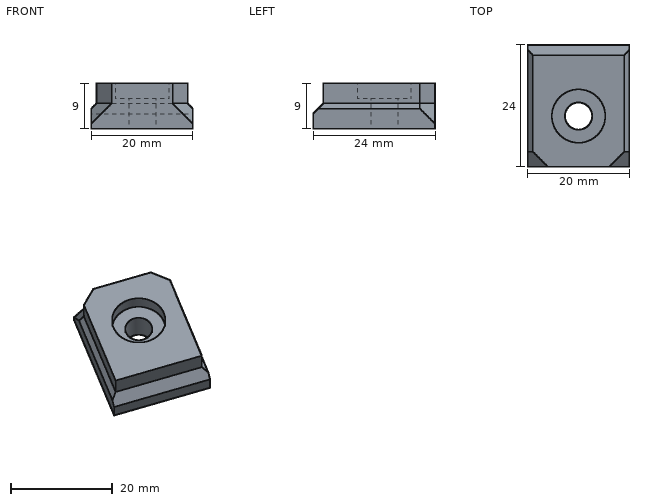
import cadquery as cq

width = 20.0
length = 24.0
height = 9.0

base_height = 5.0
side_ledge = 1.0
back_ledge = 2.0
corner_cut = 3.0

hole_diameter = 5.3
bore_diameter = 10.5
bore_depth = 3.0
hole_from_front = 10.0

half_width = width / 2
front = -length / 2
back = length / 2
block_half_width = half_width - side_ledge
block_back = back - back_ledge


def corner_tool(side):
    """Block whose inner face slopes down and out below a front corner cut."""
    face_start = (side * (block_half_width - corner_cut), front, base_height)
    plane = cq.Plane(origin=face_start, xDir=(side, 1, 0), normal=(side, -1, 1))
    return cq.Workplane(plane).rect(length, length).extrude(length)


def make_base():
    """Base with sloped shoulders at the sides and back and sloped front corners."""
    across = (
        cq.Workplane("XZ", origin=(0, back, 0))
        .moveTo(-half_width, 0)
        .lineTo(half_width, 0)
        .lineTo(half_width, base_height - side_ledge)
        .lineTo(block_half_width, base_height)
        .lineTo(-block_half_width, base_height)
        .lineTo(-half_width, base_height - side_ledge)
        .close()
        .extrude(length)
    )
    along = (
        cq.Workplane("YZ", origin=(-half_width, 0, 0))
        .moveTo(front, 0)
        .lineTo(back, 0)
        .lineTo(back, base_height - back_ledge)
        .lineTo(block_back, base_height)
        .lineTo(front, base_height)
        .close()
        .extrude(width)
    )
    base = across.intersect(along)
    for side in (-1, 1):
        base = base.cut(corner_tool(side))
    return base


def make_block():
    """Raised block with its two front vertical corners cut off."""
    block_length = block_back - front
    return (
        cq.Workplane("XY", origin=(0, (front + block_back) / 2, base_height))
        .rect(2 * block_half_width, block_length)
        .extrude(height - base_height)
        .edges("|Z and <Y")
        .chamfer(corner_cut)
    )


result = (
    make_base()
    .union(make_block())
    .faces(">Z")
    .workplane(origin=(0, front + hole_from_front, height))
    .cboreHole(hole_diameter, bore_diameter, bore_depth)
)